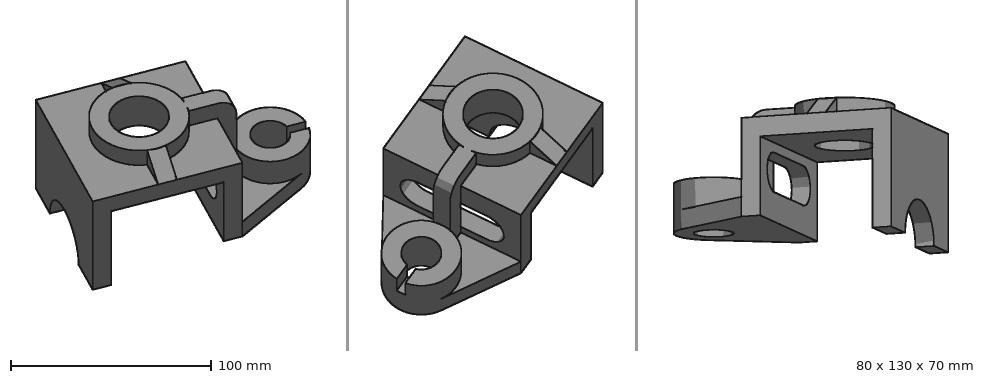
import cadquery as cq
import math

total_length = 130.0
wall = 10.0
width = 80.0
depth = 80.0
body_height = 60.0
rear_foot = wall
arch_radius = 20.0

boss_y = depth / 2
boss_radius = 25.0
bore_radius = 15.0
boss_top = body_height + wall

rib_width = 10.0
rib_round = 10.0
rib_overlap = 0.1

lug_radius = 20.0
lug_hole_radius = 10.0
lug_y = total_length - lug_radius
lug_top = 35.0
lug_slit = 5.0
slit_depth = 10.0
web_top = rear_foot + wall

window_height = 20.0
window_length = 60.0
window_z = (rear_foot + body_height) / 2


def block(x_size, y_start, y_end, z_start, z_end):
    """Box centred on X between the given Y and Z limits."""
    return (
        cq.Workplane("XY")
        .box(x_size, y_end - y_start, z_end - z_start, centered=(True, False, False))
        .translate((0, y_start, z_start))
    )


def cylinder(y, radius, z_start, z_end):
    """Vertical cylinder on the centre plane."""
    return cq.Workplane("XY", origin=(0, y, z_start)).circle(radius).extrude(z_end - z_start)


def make_body():
    """Top plate with a tall, arched front wall and a shorter rear wall."""
    plate = block(width, 0, depth, body_height - wall, body_height)
    front_wall = block(width, 0, wall, 0, body_height)
    rear_wall = block(width, depth - wall, depth, rear_foot, body_height)
    arch = cq.Workplane("XZ").circle(arch_radius).extrude(-wall)
    return plate.union(front_wall).union(rear_wall).cut(arch)


def make_side_ribs():
    """Sloped ribs falling from the boss to both side edges of the plate."""
    crest = math.sqrt(boss_radius**2 - (rib_width / 2) ** 2)
    return (
        cq.Workplane("XZ", origin=(0, boss_y, 0))
        .moveTo(-width / 2, body_height)
        .lineTo(-crest, boss_top)
        .lineTo(crest, boss_top)
        .lineTo(width / 2, body_height)
        .close()
        .extrude(rib_width / 2, both=True)
    )


def make_rear_rib():
    """Rib from the boss over the rear edge and down to the lug web."""
    rib_start = boss_y + boss_radius - rib_overlap
    rib_end = lug_y - lug_radius + rib_overlap
    rib = block(rib_width, rib_start, rib_end, web_top, boss_top)
    rib = rib.edges("|X and >Y and >Z").fillet(rib_round)
    return rib.cut(block(width, 0, depth, 0, body_height))


def make_lug():
    """Lug cylinder joined to the rear wall by a web tangent to it."""
    corner_x = width / 2
    corner_drop = lug_y - depth
    corner_distance = math.hypot(corner_x, corner_drop)
    tangent_angle = math.acos(lug_radius / corner_distance) - math.atan2(corner_drop, corner_x)
    tangent_x = lug_radius * math.cos(tangent_angle)
    tangent_y = lug_y + lug_radius * math.sin(tangent_angle)
    web = (
        cq.Workplane("XY", origin=(0, 0, rear_foot))
        .moveTo(-corner_x, depth)
        .lineTo(corner_x, depth)
        .lineTo(tangent_x, tangent_y)
        .threePointArc((0, total_length), (-tangent_x, tangent_y))
        .close()
        .extrude(web_top - rear_foot)
    )
    return web.union(cylinder(lug_y, lug_radius, rear_foot, lug_top))


boss = cylinder(boss_y, boss_radius, body_height, boss_top)
bore = cylinder(boss_y, bore_radius, 0, boss_top)
lug_hole = cylinder(lug_y, lug_hole_radius, rear_foot, lug_top)
slit = block(lug_slit, lug_y, total_length, lug_top - slit_depth, lug_top)
window = (
    cq.Workplane("XZ", origin=(0, depth, window_z))
    .slot2D(window_length, window_height)
    .extrude(wall)
)

result = (
    make_body()
    .union(boss)
    .union(make_side_ribs())
    .union(make_rear_rib())
    .union(make_lug())
    .cut(bore)
    .cut(lug_hole)
    .cut(slit)
    .cut(window)
)